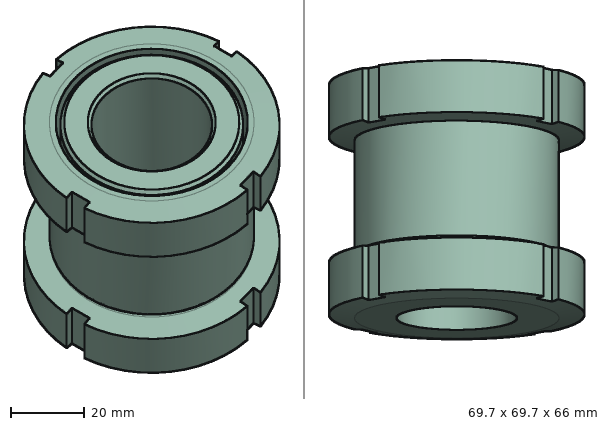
import cadquery as cq

total_height = 66.0
flange_radius = 35.0
flange_thickness = 16.5

land_radius = 28.0
rim_drop = 1.0

slot_count = 4
slot_width = 6.0
slot_floor_radius = 32.5

sleeve_radius = land_radius
sleeve_bore_radius = 26.25
sleeve_chamfer = 1.0

bore_radius = 16.5
tube_radius = 25.0
tube_chamfer = 1.05
bore_chamfer = 1.0


def flange(base_z):
    """Round flange with both faces tapered toward the rim and slots across the rim."""
    top_z = base_z + flange_thickness
    profile = [
        (0, base_z),
        (land_radius, base_z),
        (flange_radius, base_z + rim_drop),
        (flange_radius, top_z - rim_drop),
        (land_radius, top_z),
        (0, top_z),
    ]
    body = cq.Workplane("XZ").polyline(profile).close().revolve(360, (0, 0), (0, 1))
    slot_length = 2 * (flange_radius - slot_floor_radius)
    slots = (
        cq.Workplane("XY", origin=(0, 0, base_z))
        .polarArray(slot_floor_radius + slot_length / 2, 0, 360, slot_count)
        .rect(slot_length, slot_width)
        .extrude(flange_thickness)
    )
    return body.cut(slots)


def cylinder(radius, bottom_z, top_z):
    return cq.Workplane("XY", origin=(0, 0, bottom_z)).circle(radius).extrude(top_z - bottom_z)


def make_flanged_sleeve():
    """Upper flange with a plain sleeve below it that stands on the lower flange."""
    sleeve = cylinder(sleeve_radius, flange_thickness, total_height)
    sleeve = sleeve.faces("<Z").edges().chamfer(sleeve_chamfer)
    bore = cylinder(sleeve_bore_radius, flange_thickness, total_height)
    return flange(total_height - flange_thickness).union(sleeve).cut(bore)


def make_flanged_tube():
    """Lower flange with a tube rising through the sleeve, with a clearance all round."""
    tube = cylinder(tube_radius, 0, total_height)
    tube = tube.faces(">Z").edges().chamfer(tube_chamfer)
    bore = cylinder(bore_radius, 0, total_height)
    body = flange(0).union(tube).cut(bore)
    bore_mouth = body.faces(">Z").edges(cq.selectors.RadiusNthSelector(0))
    return bore_mouth.chamfer(bore_chamfer)


flanged_sleeve = make_flanged_sleeve()
flanged_tube = make_flanged_tube()

result = cq.Compound.makeCompound([flanged_sleeve.val(), flanged_tube.val()])